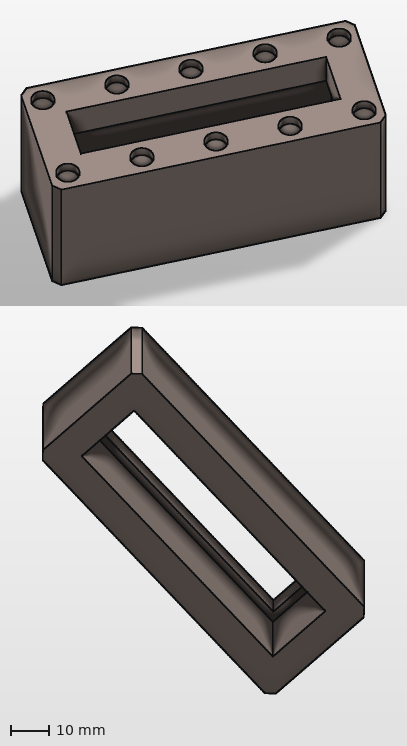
import cadquery as cq

length = 90.0
width = 35.0
height = 40.0
corner_chamfer = 2.0

window_width = 14.5
window_length = 70.0

lip_depth = 10.0
undercut = 2.0

hole_diameter = 6.1
hole_depth = 3.0
holes_per_row = 5
hole_pitch = 20.0
row_spacing = 25.0


def chamfered_block():
    block = cq.Workplane("XY").box(width, length, height, centered=(True, True, False))
    return block.edges("|Z").chamfer(corner_chamfer)


def stepped_opening():
    window = cq.Workplane("XY").rect(window_width, window_length).extrude(height)
    lower_cavity = (
        cq.Workplane("XY")
        .rect(window_width + 2 * undercut, window_length + 2 * undercut)
        .extrude(height - lip_depth)
    )
    return window.union(lower_cavity)


def top_holes():
    return (
        cq.Workplane("XY", origin=(0, 0, height))
        .rarray(row_spacing, hole_pitch, 2, holes_per_row)
        .circle(hole_diameter / 2)
        .extrude(-hole_depth)
    )


result = chamfered_block().cut(stepped_opening()).cut(top_holes())